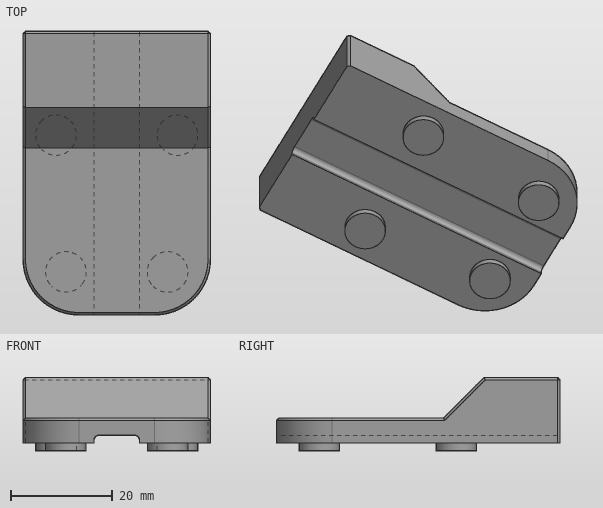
import cadquery as cq

length = 56.0
width = 37.0
pad_height = 1.5
body_height = 14.5 - pad_height

low_height = 5.0
rear_flat_length = 15.0
slope_run = body_height - low_height
corner_radius = 11.05
edge_chamfer = 0.5

channel_width = 8.95
channel_depth = 1.55
channel_fillet = 1.0

pad_diameter = 8.0
front_pad_x = 10.0
front_pad_inset = 8.5
rear_pad_x = 12.0
rear_pad_inset = 20.5

front_y = -length / 2
rear_y = length / 2
slope_top_y = rear_y - rear_flat_length
slope_foot_y = slope_top_y - slope_run


def make_body():
    """Stepped block with rounded front corners and chamfered upper and rear edges."""
    body = (
        cq.Workplane("YZ")
        .moveTo(front_y, 0)
        .lineTo(rear_y, 0)
        .lineTo(rear_y, body_height)
        .lineTo(slope_top_y, body_height)
        .lineTo(slope_foot_y, low_height)
        .lineTo(front_y, low_height)
        .close()
        .extrude(width / 2, both=True)
    )
    body = body.faces("<Y").edges("|Z").fillet(corner_radius)

    low_face = cq.selectors.NearestToPointSelector((0, front_y / 2, low_height))
    front_rim = body.faces(low_face).edges("not(>Y)")
    slope_sides = body.edges("<X or >X").edges("not(|Y or |Z)")
    rear_rim = body.faces(">Z").edges("not(<Y)")
    rear_corners = body.faces(">Y").edges("|Z")
    chamfered = front_rim.add(slope_sides).add(rear_rim).add(rear_corners)
    return chamfered.chamfer(edge_chamfer)


def make_channel():
    """Full-length cutter with a flat roof and rounded upper corners."""
    return (
        cq.Workplane("XY")
        .box(channel_width, length, channel_depth, centered=(True, True, False))
        .edges("|Y and >Z")
        .fillet(channel_fillet)
    )


def make_pads():
    """Four round feet below the body."""
    front_pad_y = front_y + front_pad_inset
    rear_pad_y = rear_y - rear_pad_inset
    centres = [
        (side * x, y)
        for x, y in ((front_pad_x, front_pad_y), (rear_pad_x, rear_pad_y))
        for side in (-1, 1)
    ]
    return cq.Workplane("XY").pushPoints(centres).circle(pad_diameter / 2).extrude(-pad_height)


result = make_body().cut(make_channel()).union(make_pads())